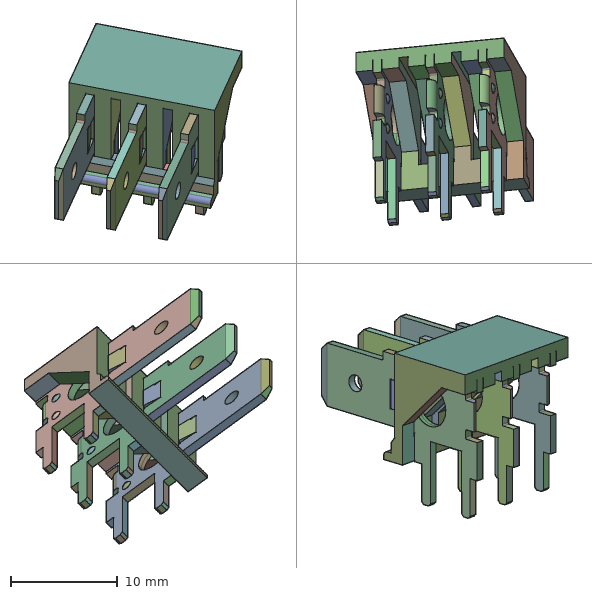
import cadquery as cq


housing_width = 14.28
housing_depth = 9.0
housing_height = 10.92
roof_thickness = 2.0
front_wall_thickness = 1.0
slope_run = 5.0
sill_top = 2.48
step_top = 1.95
step_depth = 0.42
lip_depth = 1.38
lip_height = 0.88
lip_radius = 0.48
slot_width = 0.9
slot_top = housing_height - 0.95
terminal_pitch = 5.08
terminal_count = 3

plate_thickness = 0.8
axis_height = housing_height - 5.0
body_bottom = -0.08
window_diameter = 4.0
window_y = 3.0

blade_tip_y = housing_depth - 20.0
blade_height = 6.3
blade_top = axis_height + blade_height / 2
blade_bottom = axis_height - blade_height / 2
shoulder_y = -3.0
shoulder_radius = 0.18
tip_length = 0.9
tip_chamfer_height = 0.8
tip_thickness = 0.4
blade_hole_diameter = 1.65
blade_hole_y = -6.5

leg_width = 1.1
leg_pitch = 5.08
front_leg_y = 2.48
rear_leg_y = front_leg_y + leg_pitch
leg_bottom = housing_height - 15.0
leg_chamfer = 0.25
leg_gap_top = 2.42

notch_depth = 1.45
notch_radius = 0.15
upper_notch_top = 8.65
tongue_top = 7.6
tongue_bottom = 4.68
lower_notch_bottom = 3.75
tongue_end_y = 8.58

dome_radius = 0.5
dome_rise = 0.22
dome_y = 6.5
dome_heights = (3.95, 7.02)

lance_hinge_y = -2.08
lance_length = 1.95
lance_hinge_height = 2.98
lance_end_height = 2.68
lance_angle = 8.0


def extrude_across(profile, width):
    """Extrude a YZ profile by the given width, centred on X = 0."""
    return profile.extrude(width / 2, both=True)


def box_between(width, y_min, y_max, z_min, z_max):
    """Box centred on X = 0 that spans the given Y and Z limits."""
    box = cq.Workplane("XY").box(width, y_max - y_min, z_max - z_min)
    return box.translate((0, (y_min + y_max) / 2, (z_min + z_max) / 2))


def make_housing():
    """Roof, sloped body and lipped front wall, slotted at and between the terminals."""
    roof_bottom = housing_height - roof_thickness
    slope_bottom = roof_bottom - slope_run
    profile = (
        cq.Workplane("YZ")
        .moveTo(housing_depth, housing_height)
        .lineTo(housing_depth, roof_bottom)
        .lineTo(front_wall_thickness + slope_run, roof_bottom)
        .lineTo(front_wall_thickness, slope_bottom)
        .lineTo(front_wall_thickness, 0)
        .lineTo(-lip_depth, 0)
        .lineTo(-lip_depth, lip_height - lip_radius)
        .radiusArc((-lip_depth + lip_radius, lip_height), lip_radius)
        .lineTo(-step_depth, lip_height)
        .lineTo(-step_depth, step_top)
        .lineTo(0, sill_top)
        .lineTo(0, housing_height)
        .close()
    )
    housing = extrude_across(profile, housing_width)
    slot = box_between(slot_width, 0, housing_depth, sill_top, slot_top)
    slot_count = 2 * terminal_count - 1
    for index in range(slot_count):
        slot_x = (index - (slot_count - 1) / 2) * terminal_pitch / 2
        housing = housing.cut(slot.translate((slot_x, 0, 0)))
    return housing


def make_blade():
    """Flat tab with a chamfered end that also thins toward the tip."""
    tip_start_y = blade_tip_y + tip_length
    tip_half_height = blade_height / 2 - tip_chamfer_height
    outline = (
        cq.Workplane("YZ")
        .moveTo(front_wall_thickness, blade_bottom)
        .lineTo(tip_start_y, blade_bottom)
        .lineTo(blade_tip_y, axis_height - tip_half_height)
        .lineTo(blade_tip_y, axis_height + tip_half_height)
        .lineTo(tip_start_y, blade_top)
        .lineTo(shoulder_y - shoulder_radius, blade_top)
        .radiusArc((shoulder_y, blade_top + shoulder_radius), -shoulder_radius)
        .lineTo(shoulder_y, slot_top)
        .lineTo(front_wall_thickness, slot_top)
        .close()
    )
    blade = extrude_across(outline, plate_thickness)
    plan = (
        cq.Workplane("XY")
        .moveTo(-plate_thickness / 2, front_wall_thickness)
        .lineTo(-plate_thickness / 2, tip_start_y)
        .lineTo(-tip_thickness / 2, blade_tip_y)
        .lineTo(tip_thickness / 2, blade_tip_y)
        .lineTo(plate_thickness / 2, tip_start_y)
        .lineTo(plate_thickness / 2, front_wall_thickness)
        .close()
        .extrude(housing_height)
    )
    hole = extrude_across(
        cq.Workplane("YZ").center(blade_hole_y, axis_height).circle(blade_hole_diameter / 2),
        plate_thickness,
    )
    return blade.intersect(plan).cut(hole)


def make_lance_outline():
    """Prism, narrower at its free rear end, that is cut free from the blade and bent outward."""
    end_y = lance_hinge_y + lance_length
    outline = (
        cq.Workplane("YZ")
        .moveTo(lance_hinge_y, axis_height - lance_hinge_height / 2)
        .lineTo(end_y, axis_height - lance_end_height / 2)
        .lineTo(end_y, axis_height + lance_end_height / 2)
        .lineTo(lance_hinge_y, axis_height + lance_hinge_height / 2)
        .close()
    )
    return extrude_across(outline, plate_thickness)


def add_lance(blade):
    """Bend the lance about its hinge line on the left face; a gap frees its end up to the housing."""
    flat_lance = make_lance_outline()
    hinge_bottom = (-plate_thickness / 2, lance_hinge_y, 0)
    hinge_top = (-plate_thickness / 2, lance_hinge_y, housing_height)
    bent_lance = flat_lance.rotate(hinge_bottom, hinge_top, lance_angle)
    end_gap = box_between(
        plate_thickness,
        lance_hinge_y,
        0,
        axis_height - lance_end_height / 2,
        axis_height + lance_end_height / 2,
    )
    return blade.cut(flat_lance).cut(end_gap).union(bent_lance)


def make_tongue():
    """Tongue between the notches, rounded from its left face to its rear edge."""
    half_thickness = plate_thickness / 2
    notch_floor_y = housing_depth - notch_depth
    return (
        cq.Workplane("XY", origin=(0, 0, tongue_bottom))
        .moveTo(-half_thickness, notch_floor_y)
        .lineTo(-half_thickness, tongue_end_y - plate_thickness)
        .radiusArc((half_thickness, tongue_end_y), plate_thickness)
        .lineTo(half_thickness, notch_floor_y)
        .close()
        .extrude(tongue_top - tongue_bottom)
    )


def make_dome():
    """Shallow spherical cap that rises from the left face of the plate, at the origin in Y and Z."""
    sphere_radius = (dome_radius**2 + dome_rise**2) / (2 * dome_rise)
    sphere_x = -plate_thickness / 2 - dome_rise + sphere_radius
    cap_space = cq.Workplane("XY").box(dome_rise * 2, dome_radius * 3, dome_radius * 3)
    sphere = cq.Workplane("XY").sphere(sphere_radius).translate((sphere_x, 0, 0))
    return sphere.intersect(cap_space.translate((-plate_thickness / 2 - dome_rise / 2, 0, 0)))


def make_leg(leg_y):
    """Solder leg with a chamfered end."""
    leg = box_between(
        plate_thickness, leg_y - leg_width / 2, leg_y + leg_width / 2, leg_bottom, leg_gap_top
    )
    return leg.faces("<Z").edges("|X").chamfer(leg_chamfer)


def make_body():
    """Rear part of the terminal plate, with window, notches, tongue, domes and legs."""
    body = box_between(plate_thickness, front_wall_thickness, housing_depth, body_bottom, slot_top)
    body = body.cut(
        box_between(
            plate_thickness,
            front_leg_y + leg_width / 2,
            rear_leg_y - leg_width / 2,
            body_bottom,
            leg_gap_top,
        )
    )
    notch_floor_y = housing_depth - notch_depth
    tongue_space = box_between(
        plate_thickness, notch_floor_y, housing_depth, tongue_bottom, tongue_top
    )
    body = body.cut(tongue_space).union(make_tongue())
    for bottom, top in ((lower_notch_bottom, tongue_bottom), (tongue_top, upper_notch_top)):
        notch = box_between(plate_thickness, notch_floor_y, housing_depth, bottom, top)
        body = body.cut(notch.edges("|X and <Y").fillet(notch_radius))
    window = cq.Workplane("YZ").center(window_y, axis_height).circle(window_diameter / 2)
    body = body.cut(extrude_across(window, plate_thickness))
    for leg_y in (front_leg_y, rear_leg_y):
        body = body.union(make_leg(leg_y))
    for dome_z in dome_heights:
        body = body.union(make_dome().translate((0, dome_y, dome_z)))
    return body


def make_terminal():
    """One flat terminal, centred on X = 0."""
    return make_body().union(add_lance(make_blade()))


result = make_housing()
terminal = make_terminal()
for terminal_index in range(terminal_count):
    terminal_x = (terminal_index - (terminal_count - 1) / 2) * terminal_pitch
    result = result.union(terminal.translate((terminal_x, 0, 0)))